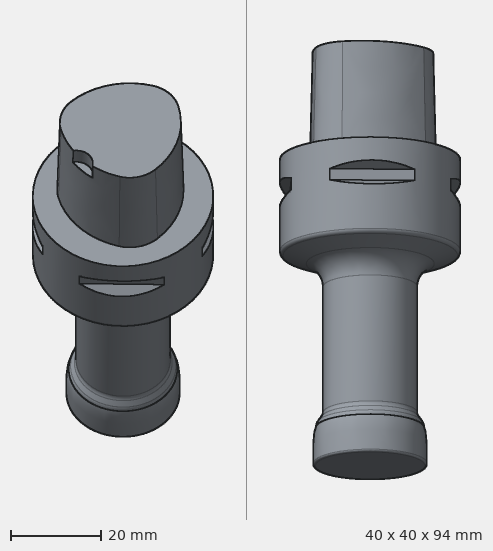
import cadquery as cq
import math

total_height = 94.0
taper_length = 24.0
flange_bottom_z = 49.2
neck_blend_z = 41.0
shank_bottom_z = 12.1
nut_height = 8.65
flange_top_z = total_height - taper_length

flange_radius = 40.0 / 2
shank_radius = 21.0 / 2
flange_edge_radius = 1.0
neck_blend_radius = 5.6
neck_cone_angle = math.radians(20)
head_bend_radius = 2.0
head_flare_angle = math.radians(35)

lobe_center_distance = 6.1
lobe_radius_base = 8.7
taper_per_side = 1 / 40
lobe_radius_top = lobe_radius_base - taper_length * taper_per_side

notch_radius = 3.7
notch_center_y = -14.4
notch_depth = 4.0

groove_count = 4
groove_first_angle = 45
groove_center_z = 62.0
groove_floor_height = 2.5
groove_mouth_height = 5.45
groove_depth = 2.35

nut_top_radius = 12.0
nut_shoulder_radius = 12.3
nut_shoulder_drop = 0.8
nut_waist_radius = 12.6
nut_waist_z = 4.3
nut_bottom_radius = 12.7
nut_edge_fillet = 0.5


def polar(radius, degrees):
    angle = math.radians(degrees)
    return (radius * math.cos(angle), radius * math.sin(angle))


def shifted(point, distance, degrees):
    dx, dy = polar(distance, degrees)
    return (point[0] + dx, point[1] + dy)


def polygon_wire(plane, lobe_radius):
    """Three lobe arcs joined by flat arcs, each flat centred on the opposite lobe's centre."""
    flat_radius = lobe_radius + math.sqrt(3) * lobe_center_distance
    lobe_angles = (90, 210, 330)
    first_center = polar(lobe_center_distance, lobe_angles[0])
    wire = plane.moveTo(*shifted(first_center, lobe_radius, lobe_angles[0] - 30))
    for angle in lobe_angles:
        center = polar(lobe_center_distance, angle)
        wire = wire.threePointArc(
            shifted(center, lobe_radius, angle),
            shifted(center, lobe_radius, angle + 30),
        )
        flat_angle = angle + 60
        opposite_center = polar(lobe_center_distance, flat_angle + 180)
        wire = wire.threePointArc(
            shifted(opposite_center, flat_radius, flat_angle),
            shifted(opposite_center, flat_radius, flat_angle + 30),
        )
    return wire.close()


def make_polygon_shank():
    base = polygon_wire(cq.Workplane("XY", origin=(0, 0, flange_top_z)), lobe_radius_base)
    both_ends = polygon_wire(base.workplane(offset=taper_length), lobe_radius_top)
    shank = both_ends.loft(ruled=True)
    notch = (
        cq.Workplane("XY", origin=(0, notch_center_y, total_height - notch_depth))
        .circle(notch_radius)
        .extrude(notch_depth)
    )
    return shank.cut(notch)


def make_turned_holder():
    """Flange, neck, shank and collet head, revolved about the tool axis."""
    neck_sweep = math.pi / 2 - neck_cone_angle

    def neck_point(sweep):
        radius = shank_radius + neck_blend_radius * (1 - math.cos(sweep))
        return (radius, neck_blend_z + neck_blend_radius * math.sin(sweep))

    def bend_offset(sweep):
        return (head_bend_radius * (1 - math.cos(sweep)), head_bend_radius * math.sin(sweep))

    def flange_edge_point(sweep):
        radius = flange_radius - flange_edge_radius * (1 - math.cos(sweep))
        return (radius, flange_bottom_z - flange_edge_radius * math.sin(sweep))

    half_dr, half_dz = bend_offset(head_flare_angle / 2)
    bend_dr, bend_dz = bend_offset(head_flare_angle)
    flare_height = shank_bottom_z - nut_height - 2 * bend_dz
    head_radius = shank_radius + 2 * bend_dr + flare_height * math.tan(head_flare_angle)

    profile = (
        cq.Workplane("XZ")
        .moveTo(0, nut_height)
        .lineTo(head_radius, nut_height)
        .threePointArc(
            (head_radius - half_dr, nut_height + half_dz),
            (head_radius - bend_dr, nut_height + bend_dz),
        )
        .lineTo(shank_radius + bend_dr, shank_bottom_z - bend_dz)
        .threePointArc(
            (shank_radius + half_dr, shank_bottom_z - half_dz),
            (shank_radius, shank_bottom_z),
        )
        .lineTo(shank_radius, neck_blend_z)
        .threePointArc(neck_point(neck_sweep / 2), neck_point(neck_sweep))
        .lineTo(*flange_edge_point(neck_sweep))
        .threePointArc(flange_edge_point(neck_sweep / 2), flange_edge_point(0))
        .lineTo(flange_radius, flange_top_z)
        .lineTo(0, flange_top_z)
        .close()
    )
    return profile.revolve(360, (0, 0), (0, 1))


def make_groove(angle):
    """Straight groove with flared sides, cut across the flange rim at the given angle."""
    floor_x = flange_radius - groove_depth
    half_floor = groove_floor_height / 2
    half_mouth = groove_mouth_height / 2
    return (
        cq.Workplane("XZ", origin=(0, 0, groove_center_z))
        .polyline([
            (floor_x, -half_floor),
            (flange_radius, -half_mouth),
            (flange_radius, half_mouth),
            (floor_x, half_floor),
        ])
        .close()
        .extrude(flange_radius, both=True)
        .rotate((0, 0, 0), (0, 0, 1), angle)
    )


def make_holder():
    body = make_turned_holder().union(make_polygon_shank())
    for index in range(groove_count):
        body = body.cut(make_groove(groove_first_angle + index * 360 / groove_count))
    return body


def make_nut():
    """Clamping nut with a smoothly curved wall and a rounded lower edge, seated under the head."""
    blank = (
        cq.Workplane("XZ")
        .lineTo(nut_bottom_radius, 0)
        .spline(
            [
                (nut_waist_radius, nut_waist_z),
                (nut_shoulder_radius, nut_height - nut_shoulder_drop),
                (nut_top_radius, nut_height),
            ],
            includeCurrent=True,
        )
        .lineTo(0, nut_height)
        .close()
        .revolve(360, (0, 0), (0, 1))
    )
    return blank.faces("<Z").edges().fillet(nut_edge_fillet)


holder = make_holder()
nut = make_nut()

result = cq.Compound.makeCompound([holder.val(), nut.val()])